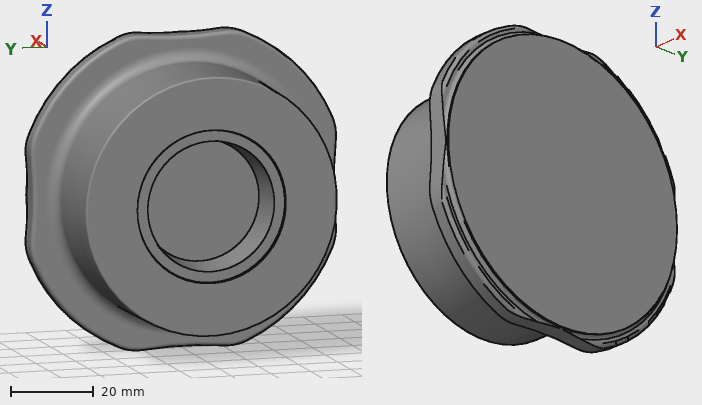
import cadquery as cq
import math

total_length = 28.5
across_lobes = 77.3

flange_thickness = 5.0
flange_radius = 41.0
flat_hollow_radius = 100.0
lobe_corner_radius = 12.0
edge_round = 1.0
flat_count = 4

disc_radius = 76.0 / 2
disc_height = 1.5

hub_face_radius = 31.8
hub_draft_angle = 1.0
hub_edge_round = 0.5
hub_foot_round = 3.0

recess_mouth_radius = 37.6 / 2
recess_floor_radius = 18.6
recess_depth = 0.55
bore_mouth_radius = 16.0
bore_floor_radius = 15.0
bore_depth = 9.7

flange_back = total_length - disc_height
flange_front = flange_back - flange_thickness


def make_lobed_prism():
    """Round prism with four hollow flats, rounded along its front rim."""
    corner_z = across_lobes / 2 - lobe_corner_radius
    corner_y = math.sqrt((flange_radius - lobe_corner_radius) ** 2 - corner_z**2)
    centre_distance = flat_hollow_radius + lobe_corner_radius
    hollow_z = corner_z + math.sqrt(centre_distance**2 - corner_y**2)

    rim_scale = flange_radius / (flange_radius - lobe_corner_radius)
    rim_end = (corner_y * rim_scale, corner_z * rim_scale)
    hollow_share = lobe_corner_radius / centre_distance
    hollow_end = (
        corner_y * (1 - hollow_share),
        corner_z + (hollow_z - corner_z) * hollow_share,
    )
    peak = (corner_y, across_lobes / 2)
    hollow_middle = (0, hollow_z - flat_hollow_radius)
    rim_middle = (flange_radius * math.sqrt(0.5), flange_radius * math.sqrt(0.5))

    def mirrored(point):
        return (-point[0], point[1])

    def turned(point, step):
        angle = -step * 2 * math.pi / flat_count
        y, z = point
        return (
            y * math.cos(angle) - z * math.sin(angle),
            y * math.sin(angle) + z * math.cos(angle),
        )

    outline = cq.Workplane("YZ", origin=(flange_front, 0, 0)).moveTo(*mirrored(rim_end))
    for step in range(flat_count):
        arcs = (
            (mirrored(peak), mirrored(hollow_end)),
            (hollow_middle, hollow_end),
            (peak, rim_end),
            (rim_middle, turned(mirrored(rim_end), 1)),
        )
        for middle, end in arcs:
            outline = outline.threePointArc(turned(middle, step), turned(end, step))
    prism = outline.close().extrude(total_length - flange_front)
    return prism.faces("<X").edges().fillet(edge_round)


def make_flange_and_disc():
    """Turned flange and raised disc, trimmed to the lobed outline."""
    arc_offset = edge_round * (1 - math.sqrt(0.5))
    turned_body = (
        cq.Workplane("XY")
        .moveTo(flange_front, 0)
        .lineTo(flange_front, flange_radius)
        .lineTo(flange_back - edge_round, flange_radius)
        .threePointArc(
            (flange_back - arc_offset, flange_radius - arc_offset),
            (flange_back, flange_radius - edge_round),
        )
        .lineTo(flange_back, disc_radius + edge_round)
        .threePointArc(
            (flange_back + arc_offset, disc_radius + arc_offset),
            (flange_back + edge_round, disc_radius),
        )
        .lineTo(total_length, disc_radius)
        .lineTo(total_length, 0)
        .close()
        .revolve(360, (0, 0, 0), (1, 0, 0))
    )
    return turned_body.intersect(make_lobed_prism())


def make_hub():
    """Drafted hub with a rounded face edge and a concave foot onto the flange."""
    draft = math.radians(hub_draft_angle)
    foot_x = flange_front - hub_foot_round
    foot_r = hub_face_radius + foot_x * math.tan(draft) + hub_foot_round / math.cos(draft)

    def foot_point(angle):
        return (foot_x + hub_foot_round * math.cos(angle), foot_r + hub_foot_round * math.sin(angle))

    foot_start = draft - math.pi / 2
    hub = (
        cq.Workplane("XY")
        .lineTo(0, hub_face_radius)
        .lineTo(*foot_point(foot_start))
        .threePointArc(foot_point(foot_start / 2), foot_point(0))
        .lineTo(flange_front, 0)
        .close()
        .revolve(360, (0, 0, 0), (1, 0, 0))
    )
    return hub.faces("<X").edges().fillet(hub_edge_round)


def make_bore():
    """Tapered recess and blind bore, as one cutting body."""
    profile = cq.Workplane("XY").polyline(
        [
            (0, 0),
            (0, recess_mouth_radius),
            (recess_depth, recess_floor_radius),
            (recess_depth, bore_mouth_radius),
            (bore_depth, bore_floor_radius),
            (bore_depth, 0),
        ]
    )
    return profile.close().revolve(360, (0, 0, 0), (1, 0, 0))


result = make_flange_and_disc().union(make_hub()).cut(make_bore())